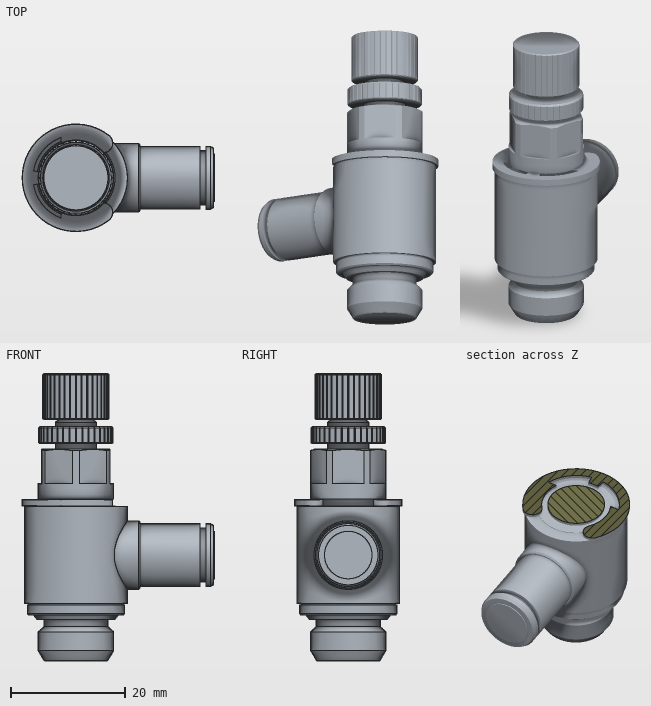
import cadquery as cq
import math


TIP_CHAMFER = 0.15
TIP_CONE_TOP = 1.8
THREAD_TOP = 5.05
NECK_BOTTOM = 6.0
GASKET_BOTTOM = 7.2
GASKET_RIM_BOTTOM = 8.0
GASKET_TOP = 10.05
HOUSING_TOP = 27.0
CLIP_BOTTOM = 27.1
CLIP_TOP = 28.2
COLLAR_BOTTOM = 28.3
HEX_BOTTOM = 31.0
HEX_TOP = 37.0
NUT_BOTTOM = 38.0
NUT_TOP = 41.0
STEM_SHOULDER = 41.7
KNOB_BOTTOM = 42.2
KNOB_TOP = 50.2

THREAD_RADIUS = 13.2 / 2
NECK_RADIUS = 11.2 / 2
TIP_RADIUS = 11.2 / 2
SHANK_RADIUS = 10.0 / 2
COLLAR_RADIUS = 13.2 / 2
HEX_ACROSS_FLATS = 12.0
HEX_SIDES = 6
HEX_TOP_RADIUS = 5.9
HEX_CHAMFER = 0.25

STEM_RADIUS = 7.2 / 2
STEM_TOP_RADIUS = 6.0 / 2
KNOB_SOCKET_DEPTH = 4.0
KNOB_SOCKET_TOP = KNOB_BOTTOM + KNOB_SOCKET_DEPTH

KNOB_RADIUS = 11.6 / 2
NUT_RADIUS = 13.0 / 2
KNOB_CHAMFER = 0.2
NUT_TOP_CHAMFER = 0.3
NUT_BOTTOM_CHAMFER = 0.15
KNURL_COUNT = 36
KNURL_WIDTH = 0.2
KNURL_DEPTH = 0.1

CLIP_RADIUS = 18.8 / 2
CLIP_BORE_RADIUS = 12.0 / 2
CLIP_END_ANGLE = 52.0
SLOT_RADIUS = 7.5
SLOT_FAR_X = -2.6
SLOT_NEAR_ANGLE = 9.3

HOUSING_RADIUS = 18.0 / 2
LIP_RADIUS = 13.7 / 2
BOSS_RADIUS = 12.0 / 2
BOSS_END = 11.2
BOSS_CHAMFER = 0.25
PORT_Z = 18.5

GASKET_RADIUS = 17.0 / 2
GASKET_SEAT_RADIUS = 16.6 / 2
GASKET_SEAT_HEIGHT = 0.25
GASKET_RIM_CHAMFER = 0.25
GASKET_CONE_TOP_RADIUS = 7.4
GASKET_CONE_BOTTOM_RADIUS = 6.75

SLEEVE_RADIUS = 11.0 / 2
PORT_INSERTION = 2.0
SLEEVE_START = BOSS_END - PORT_INSERTION
SLEEVE_END = 21.7
COLLET_NECK_RADIUS = 9.5 / 2
COLLET_START = SLEEVE_END - PORT_INSERTION
COLLET_FLANGE_START = 22.7
COLLET_TAPER_START = 23.5
COLLET_TAPER_END = 24.05
COLLET_TAPER_RADIUS = 5.2
COLLET_END = 24.2
COLLET_FACE_RADIUS = 8.3 / 2


def cylinder(radius, bottom, top):
    return cq.Workplane("XY").workplane(offset=bottom).circle(radius).extrude(top - bottom)


def port_cylinder(radius, start, end):
    return cq.Workplane("YZ", origin=(start, 0, PORT_Z)).circle(radius).extrude(end - start)


def knurled_disc(radius, bottom, top, bottom_chamfer, top_chamfer):
    disc = cylinder(radius, bottom, top)
    disc = disc.faces("<Z").chamfer(bottom_chamfer).faces(">Z").chamfer(top_chamfer)
    groove = (
        cq.Workplane("XY", origin=(0, 0, bottom))
        .polyline([
            (radius - KNURL_DEPTH, 0),
            (radius + KNURL_DEPTH, KNURL_WIDTH),
            (radius + KNURL_DEPTH, -KNURL_WIDTH),
        ])
        .close()
        .extrude(top - bottom)
    )
    for index in range(KNURL_COUNT):
        angle = index * 360 / KNURL_COUNT
        disc = disc.cut(groove.rotate((0, 0, 0), (0, 0, 1), angle))
    return disc


def make_stem():
    profile = [
        (0, HEX_BOTTOM),
        (STEM_RADIUS, HEX_BOTTOM),
        (STEM_RADIUS, STEM_SHOULDER),
        (STEM_TOP_RADIUS, KNOB_BOTTOM),
        (STEM_TOP_RADIUS, KNOB_SOCKET_TOP),
        (0, KNOB_SOCKET_TOP),
    ]
    return cq.Workplane("XZ").polyline(profile).close().revolve()


def make_knob():
    knob = knurled_disc(KNOB_RADIUS, KNOB_BOTTOM, KNOB_TOP, KNOB_CHAMFER, KNOB_CHAMFER)
    return knob.cut(cylinder(STEM_TOP_RADIUS, KNOB_BOTTOM, KNOB_SOCKET_TOP))


def make_lock_nut():
    nut = knurled_disc(NUT_RADIUS, NUT_BOTTOM, NUT_TOP, NUT_BOTTOM_CHAMFER, NUT_TOP_CHAMFER)
    return nut.cut(cylinder(STEM_RADIUS, NUT_BOTTOM, NUT_TOP))


def make_bolt():
    profile = [
        (0, 0),
        (TIP_RADIUS - TIP_CHAMFER, 0),
        (TIP_RADIUS, TIP_CHAMFER),
        (THREAD_RADIUS, TIP_CONE_TOP),
        (THREAD_RADIUS, THREAD_TOP),
        (NECK_RADIUS, NECK_BOTTOM),
        (NECK_RADIUS, GASKET_TOP),
        (SHANK_RADIUS, GASKET_TOP),
        (SHANK_RADIUS, COLLAR_BOTTOM),
        (COLLAR_RADIUS, COLLAR_BOTTOM),
        (COLLAR_RADIUS, HEX_TOP - HEX_CHAMFER),
        (HEX_TOP_RADIUS, HEX_TOP),
        (0, HEX_TOP),
    ]
    bolt = cq.Workplane("XZ").polyline(profile).close().revolve()
    hex_prism = (
        cq.Workplane("XY", origin=(0, 0, HEX_BOTTOM))
        .polygon(HEX_SIDES, HEX_ACROSS_FLATS, circumscribed=True)
        .extrude(HEX_TOP - HEX_BOTTOM)
    )
    flats = cylinder(2 * COLLAR_RADIUS, HEX_BOTTOM, HEX_TOP).cut(hex_prism)
    return bolt.cut(flats).cut(cylinder(STEM_RADIUS, HEX_BOTTOM, HEX_TOP))


def polar(radius, angle):
    return radius * math.cos(math.radians(angle)), radius * math.sin(math.radians(angle))


def make_clip():
    end_radius = (CLIP_RADIUS - CLIP_BORE_RADIUS) / 2
    middle = CLIP_BORE_RADIUS + end_radius
    thickness = CLIP_TOP - CLIP_BOTTOM
    end_bulge = polar(end_radius, CLIP_END_ANGLE - 90)
    end_centre = polar(middle, CLIP_END_ANGLE)
    tip = (end_centre[0] + end_bulge[0], end_centre[1] + end_bulge[1])
    outer_end = polar(CLIP_RADIUS, CLIP_END_ANGLE)
    inner_end = polar(CLIP_BORE_RADIUS, CLIP_END_ANGLE)
    clip = (
        cq.Workplane("XY", origin=(0, 0, CLIP_BOTTOM))
        .moveTo(*outer_end)
        .threePointArc((-CLIP_RADIUS, 0), (outer_end[0], -outer_end[1]))
        .threePointArc((tip[0], -tip[1]), (inner_end[0], -inner_end[1]))
        .threePointArc((-CLIP_BORE_RADIUS, 0), inner_end)
        .threePointArc(tip, outer_end)
        .close()
        .extrude(thickness)
    )
    slot_end_y = math.sqrt(SLOT_RADIUS**2 - SLOT_FAR_X**2)
    far_angle = math.degrees(math.atan2(slot_end_y, SLOT_FAR_X))
    near_angle = 180 - SLOT_NEAR_ANGLE
    inner_corner_y = SLOT_FAR_X * math.tan(math.radians(near_angle))
    slot = (
        cq.Workplane("XY", origin=(0, 0, CLIP_BOTTOM))
        .moveTo(SLOT_FAR_X, inner_corner_y)
        .lineTo(SLOT_FAR_X, slot_end_y)
        .threePointArc(polar(SLOT_RADIUS, (far_angle + near_angle) / 2), polar(SLOT_RADIUS, near_angle))
        .close()
        .extrude(thickness)
    )
    return clip.cut(slot).cut(slot.mirror("XZ"))


def make_housing():
    housing = cylinder(HOUSING_RADIUS, GASKET_TOP, HOUSING_TOP)
    lip = cylinder(LIP_RADIUS, HOUSING_TOP, CLIP_BOTTOM)
    boss = port_cylinder(BOSS_RADIUS, 0, BOSS_END).faces(">X").chamfer(BOSS_CHAMFER)
    shank_bore = cylinder(SHANK_RADIUS, GASKET_TOP, CLIP_BOTTOM)
    sleeve_bore = port_cylinder(SLEEVE_RADIUS, SLEEVE_START, BOSS_END)
    return housing.union(lip).union(boss).cut(shank_bore).cut(sleeve_bore)


def make_gasket():
    profile = [
        (NECK_RADIUS, GASKET_BOTTOM),
        (GASKET_CONE_BOTTOM_RADIUS, GASKET_BOTTOM),
        (GASKET_CONE_TOP_RADIUS, GASKET_RIM_BOTTOM),
        (GASKET_RADIUS - GASKET_RIM_CHAMFER, GASKET_RIM_BOTTOM),
        (GASKET_RADIUS, GASKET_RIM_BOTTOM + GASKET_RIM_CHAMFER),
        (GASKET_RADIUS, GASKET_TOP - GASKET_SEAT_HEIGHT),
        (GASKET_SEAT_RADIUS, GASKET_TOP - GASKET_SEAT_HEIGHT),
        (GASKET_SEAT_RADIUS, GASKET_TOP),
        (NECK_RADIUS, GASKET_TOP),
    ]
    return cq.Workplane("XZ").polyline(profile).close().revolve()


def make_sleeve():
    sleeve = port_cylinder(SLEEVE_RADIUS, SLEEVE_START, SLEEVE_END)
    return sleeve.cut(port_cylinder(COLLET_NECK_RADIUS, COLLET_START, SLEEVE_END))


def make_collet():
    profile = [
        (COLLET_START, 0),
        (COLLET_START, COLLET_NECK_RADIUS),
        (COLLET_FLANGE_START, COLLET_NECK_RADIUS),
        (COLLET_FLANGE_START, SLEEVE_RADIUS),
        (COLLET_TAPER_START, SLEEVE_RADIUS),
        (COLLET_TAPER_END, COLLET_TAPER_RADIUS),
        (COLLET_TAPER_END, COLLET_FACE_RADIUS),
        (COLLET_END, COLLET_FACE_RADIUS),
        (COLLET_END, 0),
    ]
    collet = cq.Workplane("XZ", origin=(0, 0, PORT_Z)).polyline(profile).close()
    return collet.revolve(360, (0, 0), (1, 0))


knob = make_knob()
lock_nut = make_lock_nut()
stem = make_stem()
bolt = make_bolt()
clip = make_clip()
housing = make_housing()
gasket = make_gasket()
sleeve = make_sleeve()
collet = make_collet()

result = cq.Compound.makeCompound([
    knob.val(),
    lock_nut.val(),
    stem.val(),
    bolt.val(),
    clip.val(),
    housing.val(),
    gasket.val(),
    sleeve.val(),
    collet.val(),
])